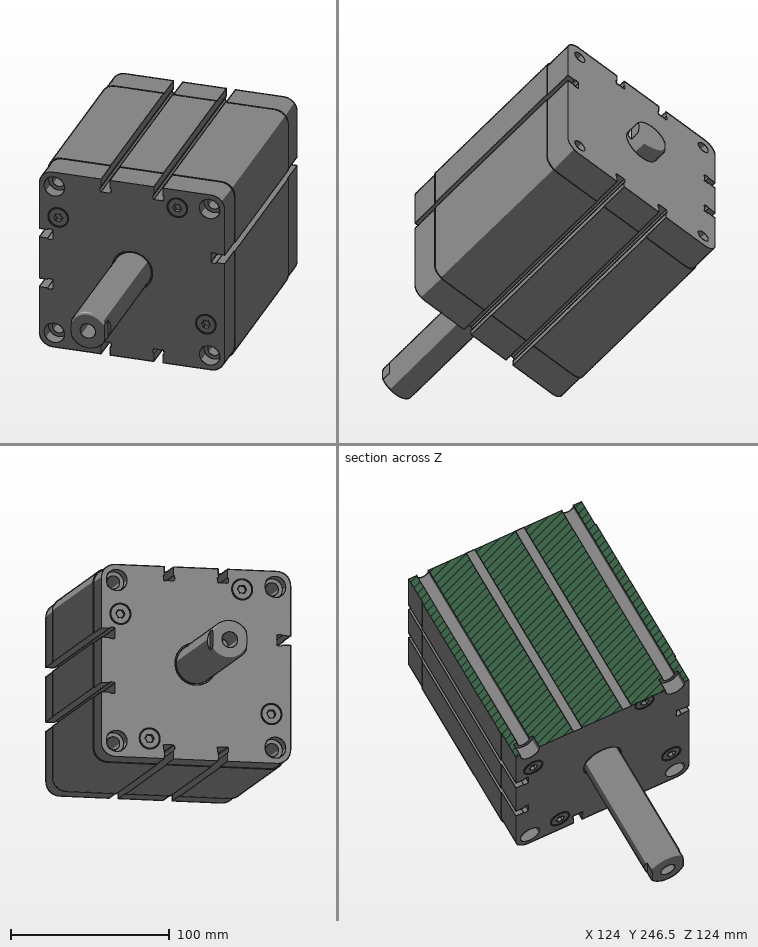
import cadquery as cq
import math

barrel_side = 124.0
cap_side = 123.0
barrel_length = 108.0
cap_length = 19.5
corner_radius = 9.0
housing_length = barrel_length + 2 * cap_length
front_face_y = -housing_length / 2
back_face_y = -front_face_y

rod_diameter = 25.0
total_length = 246.5
rear_rod_length = 10.0
front_rod_length = total_length - housing_length - rear_rod_length
front_end_y = front_face_y - front_rod_length
back_end_y = back_face_y + rear_rod_length
rod_edge_radius = 1.5
flat_width = 22.0
flat_length = 7.0
flat_depth = (rod_diameter - flat_width) / 2
rod_hole_diameter = 10.11
rod_hole_depth = 25.0
drill_tip_angle = 118.0
rod_recess_diameter = 27.0
rod_recess_depth = 1.0

slot_offset = 17.5
slot_neck_width = 6.0
slot_depth = 9.5
slot_head_width = 7.4
slot_head_height = 3.7
slot_head_radius = 1.4

mount_offset = 51.5
mount_hole_diameter = 8.38
mount_bore_diameter = 13.5
mount_bore_depth = 9.0

screw_far_offset = 49.0
screw_near_offset = 30.0
screw_seat_diameter = 13.5
screw_head_diameter = 12.5
screw_ring_depth = 0.5
socket_across_flats = 5.0
socket_depth = 3.0

SCREW_SPOTS = [
    (-screw_far_offset, screw_near_offset),
    (screw_near_offset, screw_far_offset),
    (screw_far_offset, -screw_near_offset),
    (-screw_near_offset, -screw_far_offset),
]
QUARTER_TURNS = (0, 90, 180, 270)


def plane_at(y):
    """Workplane facing the front (-Y) at the given Y, with local axes along X and Z."""
    return cq.Workplane(cq.Plane(origin=(0, y, 0), xDir=(1, 0, 0), normal=(0, -1, 0)))


def rod_axis_turn(shape, angle):
    """Copy of a shape turned about the rod axis."""
    return shape.rotate((0, 0, 0), (0, 1, 0), angle)


def square_prism(side, start_y, length):
    prism = plane_at(start_y).rect(side, side).extrude(-length)
    return prism.edges("|Y").fillet(corner_radius)


def make_housing():
    barrel = square_prism(barrel_side, -barrel_length / 2, barrel_length)
    caps = square_prism(cap_side, front_face_y, housing_length)
    return barrel.union(caps)


def make_slot(offset):
    """T-shaped slot cutter for the top face, centred at the given X offset."""
    floor_z = barrel_side / 2 - slot_depth
    neck = plane_at(front_face_y).center(offset, floor_z + slot_depth / 2)
    neck = neck.rect(slot_neck_width, slot_depth).extrude(-housing_length)
    head = plane_at(front_face_y).center(offset, floor_z + slot_head_height / 2)
    head = head.rect(slot_head_width, slot_head_height).extrude(-housing_length)
    return neck.union(head.edges("|Y").fillet(slot_head_radius))


def cut_slots(body):
    """Two slots in each side, except the +X side, which has only the upper one."""
    for angle in QUARTER_TURNS:
        for offset in (-slot_offset, slot_offset):
            on_lower_right = angle == 90 and offset > 0
            if not on_lower_right:
                body = body.cut(rod_axis_turn(make_slot(offset), angle))
    return body


def cut_mount_holes(body):
    spots = [(x, z) for x in (-mount_offset, mount_offset) for z in (-mount_offset, mount_offset)]
    front = plane_at(front_face_y).pushPoints(spots)
    holes = front.circle(mount_hole_diameter / 2).extrude(-housing_length)
    bores = front.circle(mount_bore_diameter / 2).extrude(-mount_bore_depth)
    return body.cut(holes).cut(bores)


def cut_screw_outlines(body):
    """Ring gap around each screw head and the hexagon socket in its middle."""
    across_corners = socket_across_flats / math.cos(math.pi / 6)
    front = plane_at(front_face_y).pushPoints(SCREW_SPOTS)
    seats = front.circle(screw_seat_diameter / 2).extrude(-screw_ring_depth)
    heads = front.circle(screw_head_diameter / 2).extrude(-screw_ring_depth)
    sockets = front.polygon(6, across_corners).extrude(-socket_depth)
    return body.cut(seats.cut(heads)).cut(sockets)


def make_flat_cutter(side, end_y, inward):
    """Wedge that leaves a wrench flat with a 45 degree run-out."""
    wedge_height = 2 * flat_depth
    flat_x = side * flat_width / 2
    outer_x = flat_x + side * wedge_height
    flat_end_y = end_y + inward * flat_length
    run_out_y = flat_end_y + inward * wedge_height
    outline = cq.Workplane("XY").moveTo(flat_x, end_y).lineTo(flat_x, flat_end_y)
    outline = outline.lineTo(outer_x, run_out_y).lineTo(outer_x, end_y).close()
    return outline.extrude(rod_diameter, both=True)


def make_rod():
    rod = plane_at(front_end_y).circle(rod_diameter / 2).extrude(-total_length)
    rod = rod.faces("<Y or >Y").edges().fillet(rod_edge_radius)
    for end_y, inward in ((front_end_y, 1), (back_end_y, -1)):
        for side in (-1, 1):
            rod = rod.cut(make_flat_cutter(side, end_y, inward))
    return rod


def make_rod_hole():
    """Blind drilled hole with a conical bottom, entering from the front end."""
    radius = rod_hole_diameter / 2
    tip_length = radius / math.tan(math.radians(drill_tip_angle / 2))
    shoulder_y = front_end_y + rod_hole_depth
    profile = cq.Workplane("XY").moveTo(0, front_end_y).lineTo(radius, front_end_y)
    profile = profile.lineTo(radius, shoulder_y).lineTo(0, shoulder_y + tip_length).close()
    return profile.revolve(360, (0, 0, 0), (0, 1, 0))


def cut_rod_recess(body):
    """Shallow ring recess around the rod in the front face."""
    recess = plane_at(front_face_y).circle(rod_recess_diameter / 2).extrude(-rod_recess_depth)
    return body.cut(recess)


housing = make_housing()
housing = cut_slots(housing)
housing = cut_mount_holes(housing)
housing = cut_screw_outlines(housing)
housing = cut_rod_recess(housing)
result = housing.union(make_rod()).cut(make_rod_hole())